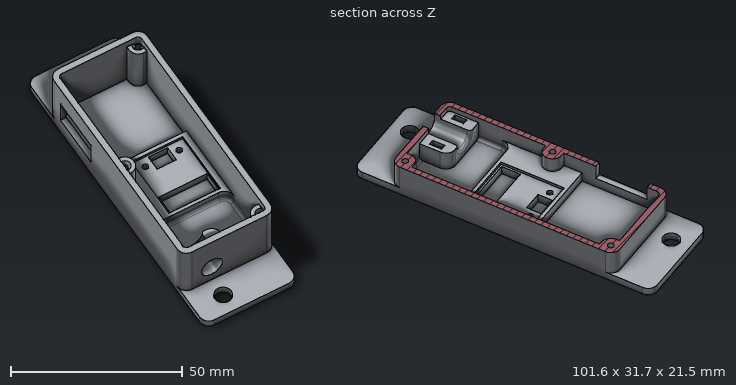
import cadquery as cq

LENGTH = 101.6
WIDTH = 31.7
HEIGHT = 21.5
BODY_LENGTH = 76.2
FLANGE_THICKNESS = 2.6
CORNER_RADIUS = 3.1
WALL = 2.0
CAVITY_RADIUS = CORNER_RADIUS - WALL

CABLE_Y = -5.9
FLANGE_HOLE_DIAMETER = 5.5

FLOOR_Z = FLANGE_THICKNESS
PLATFORM_Z = 5.9

PLATFORM_START_X = -9.3
CHAMBER_START_X = 14.4
CHAMBER_RADIUS = 3.3
CHAMBER_FILLET = 1.2

BOARD_START_X = -8.1
BOARD_LENGTH = 21.4
BOARD_WIDTH = 17.5
BOARD_Y = 3.0
BOARD_DEPTH = 0.9
RELIEF_DEPTH = 2.8
CONNECTOR_START_X = 6.3
CONNECTOR_LENGTH = 6.4
CONNECTOR_WIDTH = 16.5
CONNECTOR_Y = 3.3
SOCKET_START_X = -7.5
SOCKET_LENGTH = 5.0
SOCKET_WIDTH = 6.5
PIN_X = -5.1
PIN_SPACING = 11.5
PIN_DIAMETER = 1.9

POST_X = 35.0
POST_Y = 12.7
POST_RADIUS = 3.1
POST_TOP_Z = 18.9
SCREW_DIAMETER = 1.8
COUNTERSINK_DIAMETER = 3.6

CLAMP_START_X = 25.8
CLAMP_END_Y = 2.6
CLAMP_TOP_Z = 9.0
CLAMP_RADIUS = 3.3
CABLE_RADIUS = 3.6
CABLE_FLARE = 1.2
TIE_START_X = 29.4
TIE_WIDTH = 4.1
TIE_INNER_RADIUS = 5.4
TIE_OUTER_RADIUS = 7.2

WINDOW_START_X = -31.4
WINDOW_LENGTH = 17.3
WINDOW_BOTTOM_Z = 6.0
WINDOW_HEIGHT = 8.2

CAVITY_X = BODY_LENGTH / 2 - WALL
CAVITY_Y = WIDTH / 2 - WALL


def block(x0, x1, y0, y1, z0, z1):
    """Box between two opposite corners."""
    return cq.Workplane("XY").box(x1 - x0, y1 - y0, z1 - z0, centered=False).translate((x0, y0, z0))


def cylinder_x(x0, x1, radius):
    """Cylinder along the cable axis, which lies level with the top of the clamp."""
    return (
        cq.Workplane("YZ", origin=(x0, CABLE_Y, CLAMP_TOP_Z))
        .circle(radius)
        .extrude(x1 - x0)
    )


def make_shell():
    """Flanged base and hollow body, with the cavity floor at its lower level."""
    base = block(-LENGTH / 2, LENGTH / 2, -WIDTH / 2, WIDTH / 2, 0, FLANGE_THICKNESS)
    body = block(-BODY_LENGTH / 2, BODY_LENGTH / 2, -WIDTH / 2, WIDTH / 2, 0, HEIGHT)
    shell = base.edges("|Z").fillet(CORNER_RADIUS).union(body.edges("|Z").fillet(CORNER_RADIUS))
    cavity = block(-CAVITY_X, CAVITY_X, -CAVITY_Y, CAVITY_Y, FLOOR_Z, HEIGHT)
    shell = shell.cut(cavity.edges("|Z").fillet(CAVITY_RADIUS))

    flange_hole_x = (LENGTH + BODY_LENGTH) / 4
    holes = (
        cq.Workplane("XY")
        .pushPoints([(-flange_hole_x, CABLE_Y), (flange_hole_x, CABLE_Y)])
        .circle(FLANGE_HOLE_DIAMETER / 2)
        .extrude(FLANGE_THICKNESS)
    )
    window = block(
        WINDOW_START_X,
        WINDOW_START_X + WINDOW_LENGTH,
        -WIDTH / 2,
        -CAVITY_Y,
        WINDOW_BOTTOM_Z,
        WINDOW_BOTTOM_Z + WINDOW_HEIGHT,
    )
    return shell.cut(holes).cut(window)


def make_platform():
    """Raised floor that fills the right part of the cavity."""
    return block(PLATFORM_START_X, CAVITY_X, -CAVITY_Y, CAVITY_Y, FLOOR_Z, PLATFORM_Z)


def make_chamber():
    """Rounded chamber with a filleted floor, cut through the platform."""
    chamber = block(CHAMBER_START_X, CAVITY_X, -CAVITY_Y, CAVITY_Y, FLOOR_Z, PLATFORM_Z)
    return chamber.edges("|Z").fillet(CHAMBER_RADIUS).faces("<Z").edges().fillet(CHAMBER_FILLET)


def make_board_recess():
    """Shallow board recess with deeper reliefs for its connectors and pins."""
    board_z = PLATFORM_Z - BOARD_DEPTH
    relief_z = board_z - RELIEF_DEPTH

    def pocket(x0, length, y, width, z0, z1):
        return block(x0, x0 + length, y - width / 2, y + width / 2, z0, z1)

    recess = pocket(BOARD_START_X, BOARD_LENGTH, BOARD_Y, BOARD_WIDTH, board_z, PLATFORM_Z)
    connector = pocket(CONNECTOR_START_X, CONNECTOR_LENGTH, CONNECTOR_Y, CONNECTOR_WIDTH, relief_z, board_z)
    socket = pocket(SOCKET_START_X, SOCKET_LENGTH, BOARD_Y, SOCKET_WIDTH, relief_z, board_z)
    pins = (
        cq.Workplane("XY", origin=(PIN_X, BOARD_Y, relief_z))
        .rarray(1, PIN_SPACING, 1, 2)
        .circle(PIN_DIAMETER / 2)
        .extrude(RELIEF_DEPTH)
    )
    return recess.union(connector).union(socket).union(pins)


def make_screw_cutter(x, y):
    """Screw hole down the full height of a post, with a 90 degree countersink."""
    top = cq.Workplane("XY", origin=(x, y, POST_TOP_Z))
    countersink_depth = (COUNTERSINK_DIAMETER - SCREW_DIAMETER) / 2
    countersink = (
        top.circle(COUNTERSINK_DIAMETER / 2)
        .workplane(offset=-countersink_depth)
        .circle(SCREW_DIAMETER / 2)
        .loft()
    )
    return top.circle(SCREW_DIAMETER / 2).extrude(FLOOR_Z - POST_TOP_Z).union(countersink)


def make_corner_post(side):
    """Post in a back corner, flat where it runs into both walls; side is -1 or 1."""
    post = block(POST_X - POST_RADIUS, CAVITY_X, POST_Y - POST_RADIUS, CAVITY_Y, FLOOR_Z, POST_TOP_Z)
    post = post.edges("|Z and <X and <Y").fillet(POST_RADIUS)
    post = post.cut(make_screw_cutter(POST_X, POST_Y))
    return post if side > 0 else post.mirror("YZ")


def make_front_post():
    """Post at the middle of the front wall."""
    post = block(-POST_RADIUS, POST_RADIUS, -CAVITY_Y, -POST_Y, FLOOR_Z, POST_TOP_Z)
    barrel = cq.Workplane("XY", origin=(0, -POST_Y, FLOOR_Z)).circle(POST_RADIUS).extrude(POST_TOP_Z - FLOOR_Z)
    barrel = barrel.intersect(block(-POST_RADIUS, POST_RADIUS, -CAVITY_Y, 0, FLOOR_Z, POST_TOP_Z))
    return post.union(barrel).cut(make_screw_cutter(0, -POST_Y))


def make_clamp():
    """Block in the front corner that carries the cable."""
    clamp = block(CLAMP_START_X, CAVITY_X, -CAVITY_Y, CLAMP_END_Y, FLOOR_Z, CLAMP_TOP_Z)
    return clamp.edges("|Z and <X and >Y").fillet(CLAMP_RADIUS)


def make_cable_cutter():
    """Cable passage through the clamp and the end wall, flared at its inner end."""
    flare_x = CLAMP_START_X + CABLE_FLARE
    flare_radius = CABLE_RADIUS + CABLE_FLARE
    bend = CABLE_FLARE * (1 - 0.5**0.5)
    return (
        cq.Workplane("XY", origin=(0, CABLE_Y, CLAMP_TOP_Z))
        .moveTo(CLAMP_START_X, 0)
        .lineTo(CLAMP_START_X, flare_radius)
        .threePointArc((CLAMP_START_X + bend, CABLE_RADIUS + bend), (flare_x, CABLE_RADIUS))
        .lineTo(BODY_LENGTH / 2, CABLE_RADIUS)
        .lineTo(BODY_LENGTH / 2, 0)
        .close()
        .revolve(360, (0, 0, 0), (1, 0, 0))
    )


def make_tie_cutter():
    """Curved cable tie slot that loops under the cable passage."""
    tie_end_x = TIE_START_X + TIE_WIDTH
    ring = cylinder_x(TIE_START_X, tie_end_x, TIE_OUTER_RADIUS)
    ring = ring.cut(cylinder_x(TIE_START_X, tie_end_x, TIE_INNER_RADIUS))
    lower_half = block(TIE_START_X, tie_end_x, -WIDTH / 2, WIDTH / 2, 0, CLAMP_TOP_Z)
    return ring.intersect(lower_half)


result = make_shell().union(make_platform())
result = result.cut(make_chamber()).cut(make_board_recess())
result = result.union(make_clamp()).cut(make_cable_cutter()).cut(make_tie_cutter())
result = result.union(make_front_post())
for side in (-1, 1):
    result = result.union(make_corner_post(side))